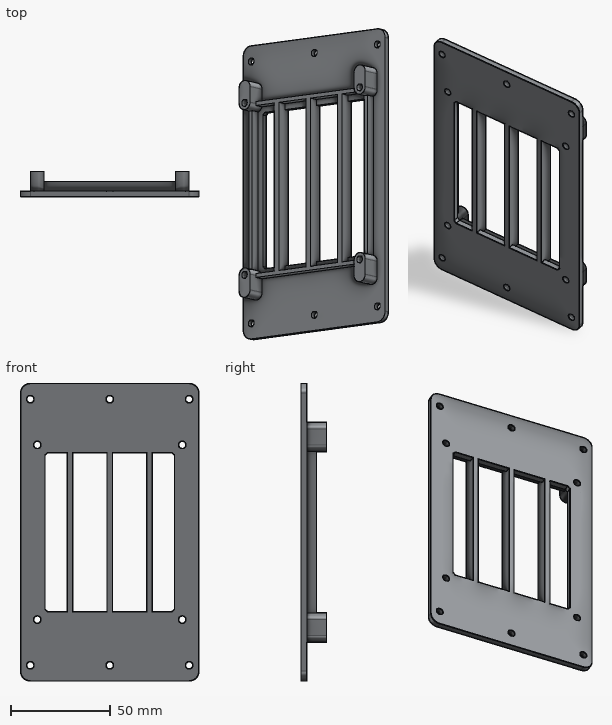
import cadquery as cq

plate_width = 90.0
plate_height = 150.0
plate_thickness = 3.0
plate_corner_radius = 5.0
front_edge_chamfer = 0.2

window_width = 65.0
window_height = 80.0
window_corner_chamfer = 1.25

bar_width = 3.0
bar_spacing = 20.0
rib_width = 2.0
rib_height = 5.0

post_width = 7.0
post_length = 15.0
post_height = 10.0
post_x = 36.5

hole_diameter = 3.5
edge_hole_x = 40.0
edge_hole_z = 67.0
post_hole_z = 44.0

post_center_z = post_hole_z + (post_length - post_width) / 2
total_depth = plate_thickness + post_height
bar_depth = plate_thickness + rib_height
sides = (-1, 1)


def sketch_plane(y):
    """Workplane at depth y whose local axes are X and Z; extrude(-d) goes towards +Y."""
    return cq.Workplane("XZ", origin=(0, y, 0))


def make_plate():
    plate = sketch_plane(0).rect(plate_width, plate_height).extrude(-plate_thickness)
    plate = plate.edges("|Y").fillet(plate_corner_radius)
    window = sketch_plane(0).rect(window_width, window_height).extrude(-plate_thickness)
    return plate.cut(window.edges("|Y").chamfer(window_corner_chamfer))


def make_bars():
    """Bars fill the window's full depth and run on behind the plate to the cross ribs."""
    bar_centers = [(i * bar_spacing, 0) for i in (-1, 0, 1)]
    bars = sketch_plane(0).pushPoints(bar_centers).rect(bar_width, window_height)
    bars = bars.extrude(-bar_depth)
    bar_tails = sketch_plane(plate_thickness).pushPoints(bar_centers)
    return bars.union(bar_tails.rect(bar_width, 2 * post_hole_z).extrude(-rib_height))


def make_ribs():
    """Rectangular frame of ribs whose corners are the screw holes in the posts."""
    back = sketch_plane(plate_thickness)
    cross_ribs = back.pushPoints([(0, -post_hole_z), (0, post_hole_z)])
    cross_ribs = cross_ribs.rect(2 * post_x, rib_width).extrude(-rib_height)
    side_ribs = back.pushPoints([(-post_x, 0), (post_x, 0)])
    side_ribs = side_ribs.rect(rib_width, 2 * post_hole_z).extrude(-rib_height)
    return cross_ribs.union(side_ribs)


def make_posts():
    post_centers = [(x_side * post_x, z_side * post_center_z) for x_side in sides for z_side in sides]
    posts = sketch_plane(plate_thickness).pushPoints(post_centers)
    return posts.slot2D(post_length, post_width, 90).extrude(-post_height)


def make_holes():
    centers = [(x, z_side * edge_hole_z) for x in (-edge_hole_x, 0, edge_hole_x) for z_side in sides]
    centers += [(x_side * post_x, z_side * post_hole_z) for x_side in sides for z_side in sides]
    return sketch_plane(0).pushPoints(centers).circle(hole_diameter / 2).extrude(-total_depth)


body = make_plate().union(make_bars()).union(make_ribs()).union(make_posts())
body = body.cut(make_holes())

result = body.faces("<Y").edges().chamfer(front_edge_chamfer)